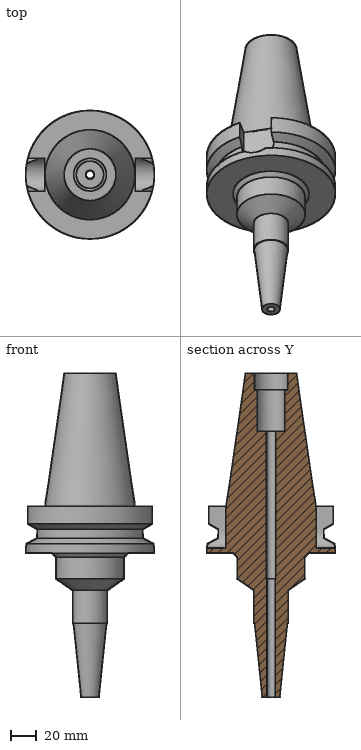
import cadquery as cq


gauge_radius = 69.85 / 2
taper_length = 101.8
taper_ratio = 7 / 24
taper_end_radius = gauge_radius - taper_length * taper_ratio / 2
land_length = 1.5

flange_radius = 50.0
flange_bottom_z = -38.0
groove_floor_radius = 43.0
groove_center_z = -23.0
groove_floor_width = 6.9
groove_mouth_width = 15.3

flare_radius = 29.5
flare_height = 3.4
hub_radius = 26.5
hub_bottom_z = -58.0
neck_radius = 13.5
neck_top_z = -67.0
neck_bottom_z = -92.5
nose_base_radius = 13.0
nose_tip_radius = 7.0
nose_tip_z = -150.0

slot_width = 25.4
slot_floor_x = 35.3
slot_bottom_z = -33.9

socket_radius = 12.7
socket_depth = 13.0
thread_radius = 10.6
thread_depth = 45.0
channel_radius = 3.4
channel_depth = taper_length - hub_bottom_z
tool_radius = 3.0
tool_bore_depth = taper_length - nose_tip_z


def make_body():
    """Revolve the outer half profile (radius, Z) around the Z axis."""
    profile = [
        (0, taper_length),
        (taper_end_radius, taper_length),
        (gauge_radius, 0),
        (gauge_radius, -land_length),
        (flange_radius, -land_length),
        (flange_radius, groove_center_z + groove_mouth_width / 2),
        (groove_floor_radius, groove_center_z + groove_floor_width / 2),
        (groove_floor_radius, groove_center_z - groove_floor_width / 2),
        (flange_radius, groove_center_z - groove_mouth_width / 2),
        (flange_radius, flange_bottom_z),
        (flare_radius, flange_bottom_z),
        (hub_radius, flange_bottom_z - flare_height),
        (hub_radius, hub_bottom_z),
        (neck_radius, neck_top_z),
        (neck_radius, neck_bottom_z),
        (nose_base_radius, neck_bottom_z),
        (nose_tip_radius, nose_tip_z),
        (0, nose_tip_z),
    ]
    return cq.Workplane("YZ").polyline(profile).close().revolve(360, (0, 0, 0), (0, 1, 0))


def make_drive_slot(side):
    """Round-bottomed slot open at the flange top and rim; side is +1 or -1 along X."""
    half_width = slot_width / 2
    arc_center_z = slot_bottom_z + half_width
    return (
        cq.Workplane("YZ", origin=(side * slot_floor_x, 0, 0))
        .moveTo(-half_width, 0)
        .lineTo(-half_width, arc_center_z)
        .threePointArc((0, slot_bottom_z), (half_width, arc_center_z))
        .lineTo(half_width, 0)
        .close()
        .extrude(side * flange_radius)
    )


def make_bore(radius, depth):
    """Cylinder going down from the small end of the taper."""
    return cq.Workplane("XY", origin=(0, 0, taper_length)).circle(radius).extrude(-depth)


result = make_body()
for side in (-1, 1):
    result = result.cut(make_drive_slot(side))

bore_steps = [
    (socket_radius, socket_depth),
    (thread_radius, thread_depth),
    (channel_radius, channel_depth),
    (tool_radius, tool_bore_depth),
]
for radius, depth in bore_steps:
    result = result.cut(make_bore(radius, depth))